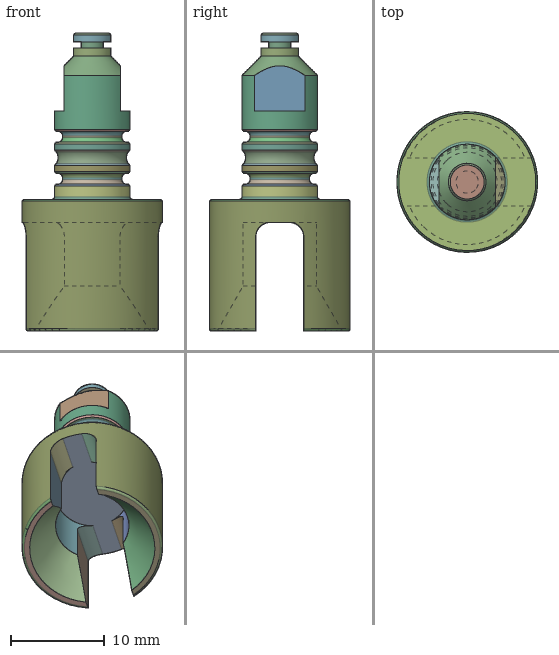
import cadquery as cq
import math

base_radius = 15.0 / 2
base_height = 14.05
base_top_chamfer = 0.2
base_bottom_fillet = 0.25
slot_width = 5.1
slot_height = 11.58
slot_corner_radius = 1.5

bore_radius = 3.9
bore_depth = slot_height
mouth_radius = 6.68
mouth_half_angle = 30.0

shaft_radius = 8.08 / 2
edge_chamfer = 0.2
root_fillet = 0.25
seal_groove_bottoms = (15.68, 20.15)
seal_groove_width = 1.15
seal_groove_radius = 6.35 / 2
seal_groove_fillet = 0.48
middle_groove_bottom = 17.87
middle_groove_top = 19.1
middle_groove_radius = 3.65

flat_offset = 3.02
flat_bottom = 23.5
cone_top = 29.32
tip_radius = 4.0 / 2
cone_bottom = cone_top - (shaft_radius - tip_radius)
clip_groove_bottom = 30.2
clip_groove_top = 30.85
clip_groove_radius = 2.4 / 2
total_height = 31.8


def add_root_fillet(profile):
    """Continue the shaft profile up through the fillet between base and shaft."""
    arc_inset = root_fillet * (1 - math.sqrt(0.5))
    return (
        profile
        .lineTo(shaft_radius + root_fillet, slot_height)
        .lineTo(shaft_radius + root_fillet, base_height)
        .threePointArc(
            (shaft_radius + arc_inset, base_height + arc_inset),
            (shaft_radius, base_height + root_fillet),
        )
    )


def add_seal_groove(profile, bottom):
    """Continue the shaft profile up through a groove with filleted floor corners."""
    top = bottom + seal_groove_width
    fillet_start = seal_groove_radius + seal_groove_fillet
    arc_inset = seal_groove_fillet * (1 - math.sqrt(0.5))
    arc_middle = seal_groove_radius + arc_inset
    return (
        profile
        .lineTo(shaft_radius, bottom - edge_chamfer)
        .lineTo(shaft_radius - edge_chamfer, bottom)
        .lineTo(fillet_start, bottom)
        .threePointArc((arc_middle, bottom + arc_inset), (seal_groove_radius, bottom + seal_groove_fillet))
        .lineTo(seal_groove_radius, top - seal_groove_fillet)
        .threePointArc((arc_middle, top - arc_inset), (fillet_start, top))
        .lineTo(shaft_radius - edge_chamfer, top)
        .lineTo(shaft_radius, top + edge_chamfer)
    )


def add_middle_groove(profile):
    """Continue the shaft profile up through the shallow round groove."""
    rim_radius = shaft_radius - edge_chamfer
    middle = (middle_groove_bottom + middle_groove_top) / 2
    return (
        profile
        .lineTo(shaft_radius, middle_groove_bottom - edge_chamfer)
        .lineTo(rim_radius, middle_groove_bottom)
        .threePointArc((middle_groove_radius, middle), (rim_radius, middle_groove_top))
        .lineTo(shaft_radius, middle_groove_top + edge_chamfer)
    )


def make_shaft():
    profile = cq.Workplane("XZ").moveTo(0, slot_height)
    profile = add_root_fillet(profile)
    profile = add_seal_groove(profile, seal_groove_bottoms[0])
    profile = add_middle_groove(profile)
    profile = add_seal_groove(profile, seal_groove_bottoms[1])
    profile = (
        profile
        .lineTo(shaft_radius, cone_bottom)
        .lineTo(tip_radius, cone_top)
        .lineTo(tip_radius, clip_groove_bottom)
        .lineTo(clip_groove_radius, clip_groove_bottom)
        .lineTo(clip_groove_radius, clip_groove_top)
        .lineTo(tip_radius, clip_groove_top)
        .lineTo(tip_radius, total_height - edge_chamfer)
        .lineTo(tip_radius - edge_chamfer, total_height)
        .lineTo(0, total_height)
        .close()
    )
    shaft = profile.revolve(360, (0, 0, 0), (0, 1, 0))

    for side in (-1, 1):
        flat_cutter = (
            cq.Workplane("XY", origin=(side * (flat_offset + shaft_radius / 2), 0, flat_bottom))
            .rect(shaft_radius, 2 * shaft_radius)
            .extrude(total_height - flat_bottom)
        )
        shaft = shaft.cut(flat_cutter)
    return shaft


def make_bore_cutter():
    mouth_height = (mouth_radius - bore_radius) / math.tan(math.radians(mouth_half_angle))
    return (
        cq.Workplane("XZ")
        .moveTo(0, 0)
        .lineTo(mouth_radius, 0)
        .lineTo(bore_radius, mouth_height)
        .lineTo(bore_radius, bore_depth)
        .lineTo(0, bore_depth)
        .close()
        .revolve(360, (0, 0, 0), (0, 1, 0))
    )


def make_slot_cutter():
    """Slot through the base along X, rounded at its upper corners."""
    return (
        cq.Workplane("XY")
        .rect(2 * base_radius, slot_width)
        .extrude(slot_height)
        .edges("|X and >Z")
        .fillet(slot_corner_radius)
    )


def make_base():
    base = cq.Workplane("XY").circle(base_radius).extrude(base_height)
    base = base.faces(">Z").edges().chamfer(base_top_chamfer)
    base = base.faces("<Z").edges().fillet(base_bottom_fillet)
    return base.cut(make_bore_cutter()).cut(make_slot_cutter())


result = make_base().union(make_shaft())